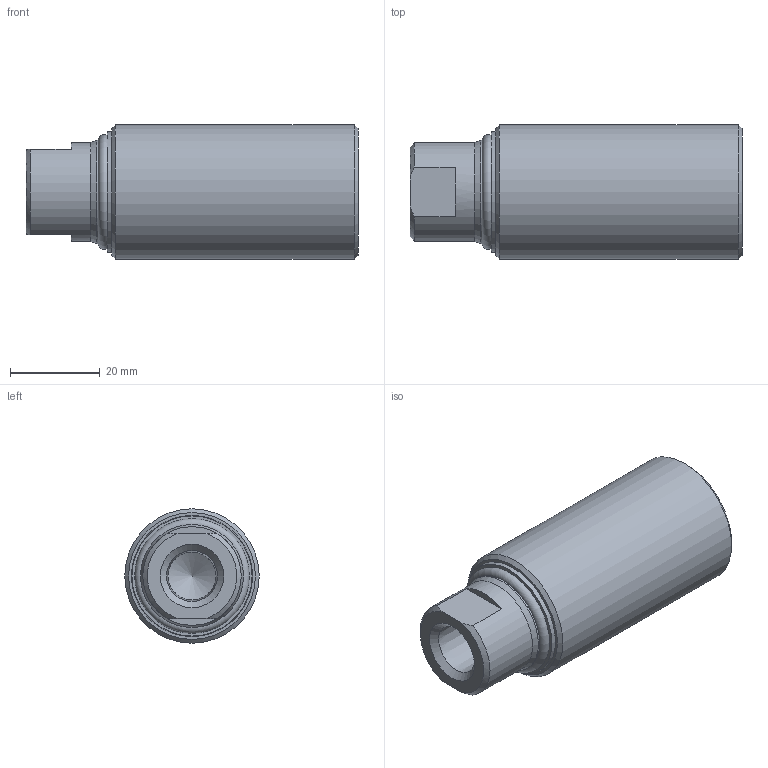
import cadquery as cq
import math

TOTAL_LENGTH = 74.12
BODY_LENGTH = 55.0
BODY_START = TOTAL_LENGTH - BODY_LENGTH

BODY_DIAMETER = 30.0
BODY_CHAMFER = 0.85

NECK_DIAMETER = 22.0
NECK_END = 14.4
NECK_CHAMFER = 1.0
FLATS_LENGTH = 10.12
ACROSS_FLATS = 19.0

SEAT_DIAMETER = 23.01
SEAT_START = 15.75

SEAL_RADIUS = 1.3
COLLAR_LENGTH = 1.0
COLLAR_START = BODY_START - COLLAR_LENGTH
COLLAR_FRONT_DIAMETER = 26.8
COLLAR_REAR_DIAMETER = 27.05
SEAL_FRONT = 16.15

PORT_COUNTERSINK_DIAMETER = 14.2
PORT_COUNTERSINK_DEPTH = 1.45
PORT_MOUTH_DIAMETER = 11.35
PORT_BOTTOM_DIAMETER = 10.72
PORT_TAPER = 1 / 16
PORT_TIP_ANGLE = 118.0


def make_outer_shape():
    """Revolve the stepped outer profile about the X axis."""
    body_radius = BODY_DIAMETER / 2
    neck_radius = NECK_DIAMETER / 2
    seat_radius = SEAT_DIAMETER / 2
    seal_center = SEAL_FRONT + SEAL_RADIUS
    seal_end_offset = COLLAR_START - seal_center
    seal_end_radius = seat_radius + math.sqrt(SEAL_RADIUS**2 - seal_end_offset**2)
    profile = (
        cq.Workplane("XY")
        .lineTo(0, neck_radius - NECK_CHAMFER)
        .lineTo(NECK_CHAMFER, neck_radius)
        .lineTo(NECK_END, neck_radius)
        .lineTo(SEAT_START, seat_radius)
        .lineTo(SEAL_FRONT, seat_radius)
        .threePointArc((seal_center, seat_radius + SEAL_RADIUS), (COLLAR_START, seal_end_radius))
        .lineTo(COLLAR_START, COLLAR_FRONT_DIAMETER / 2)
        .lineTo(BODY_START, COLLAR_REAR_DIAMETER / 2)
        .lineTo(BODY_START, body_radius - BODY_CHAMFER)
        .lineTo(BODY_START + BODY_CHAMFER, body_radius)
        .lineTo(TOTAL_LENGTH - BODY_CHAMFER, body_radius)
        .lineTo(TOTAL_LENGTH, body_radius - BODY_CHAMFER)
        .lineTo(TOTAL_LENGTH, 0)
        .close()
    )
    return profile.revolve(360, (0, 0, 0), (1, 0, 0))


def make_flat_cutter(side):
    """Block that cuts one wrench flat; side is +1 for the top and -1 for the bottom."""
    thickness = (NECK_DIAMETER - ACROSS_FLATS) / 2
    center_z = side * (ACROSS_FLATS + thickness) / 2
    return (
        cq.Workplane("XY")
        .box(FLATS_LENGTH, NECK_DIAMETER, thickness)
        .translate((FLATS_LENGTH / 2, 0, center_z))
    )


def make_port_cutter():
    """Countersunk, tapered blind hole with a conical drill tip."""
    taper_length = (PORT_MOUTH_DIAMETER - PORT_BOTTOM_DIAMETER) / PORT_TAPER
    taper_end = PORT_COUNTERSINK_DEPTH + taper_length
    bottom_radius = PORT_BOTTOM_DIAMETER / 2
    tip_length = bottom_radius / math.tan(math.radians(PORT_TIP_ANGLE / 2))
    profile = (
        cq.Workplane("XY")
        .lineTo(0, PORT_COUNTERSINK_DIAMETER / 2)
        .lineTo(PORT_COUNTERSINK_DEPTH, PORT_MOUTH_DIAMETER / 2)
        .lineTo(taper_end, bottom_radius)
        .lineTo(taper_end + tip_length, 0)
        .close()
    )
    return profile.revolve(360, (0, 0, 0), (1, 0, 0))


result = make_outer_shape()
for flat_side in (1, -1):
    result = result.cut(make_flat_cutter(flat_side))
result = result.cut(make_port_cutter())